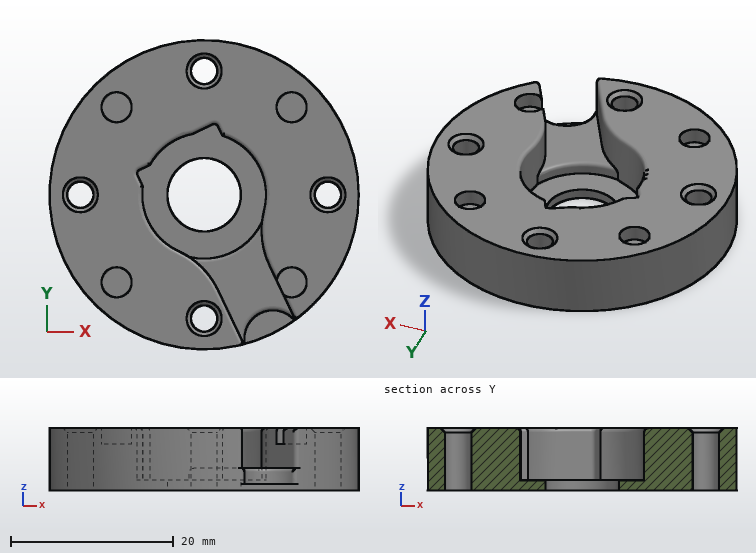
import cadquery as cq
import math

disc_diameter = 38.0
disc_height = 7.7
disc_radius = disc_diameter / 2
bore_diameter = 9.0

pocket_radius = 7.6
pocket_floor_z = 1.3
channel_width = 7.0
channel_floor_z = 2.8
channel_angle = 25.5
blend_radius = 10.0
step_radius = 7.85
edge_round = 0.5

notch_corners = [(5.15, 7.35), (-6.35, 6.17)]
notch_corner_radius = 0.5

scoop_radius = channel_width / 2
scoop_overhang = 0.6
scoop_centre_y = -(disc_radius + scoop_overhang)
scoop_floor_z = 0.8

hole_circle_radius = 15.2
holes_per_kind = 4
hole_pitch = 360 / holes_per_kind
screw_hole_diameter = 3.2
screw_hole_chamfer = 0.55
blind_hole_diameter = 3.7
blind_hole_depth = 1.95

tolerance = 0.01


class RimUprights(cq.Selector):
    """Upright edges where an opening breaks through the outer cylinder on its -Y half."""

    def filter(self, edges):
        return [edge for edge in edges if self.is_match(edge)]

    def is_match(self, edge):
        middle = edge.Center()
        on_rim = abs(math.hypot(middle.x, middle.y) - disc_radius) < tolerance
        return edge.geomType() == "LINE" and on_rim and middle.y < -tolerance


class CavityTopEdges(cq.Selector):
    """Edges of the top face that do not lie on the outer circle."""

    def filter(self, edges):
        return [edge for edge in edges if self.is_match(edge)]

    def is_match(self, edge):
        on_top = edge.BoundingBox().zmin > disc_height - tolerance
        on_outer_circle = edge.geomType() == "CIRCLE" and abs(edge.radius() - disc_radius) < tolerance
        return on_top and not on_outer_circle


def cavity_plane(z):
    """Horizontal workplane whose -Y direction runs outwards along the channel."""
    return cq.Workplane("XY", origin=(0, 0, z)).transformed(rotate=(0, 0, channel_angle))


def cavity_cylinder(radius, centre_y, bottom_z, top_z):
    """Upright cylinder centred on the channel's centre line."""
    return cavity_plane(bottom_z).center(0, centre_y).circle(radius).extrude(top_z - bottom_z)


def notch(across, along):
    """Block from the pocket's centre out to one rounded far corner."""
    depth = disc_height - pocket_floor_z
    plane = cavity_plane(pocket_floor_z)
    far_corner = plane.plane.toWorldCoords((across, along, depth / 2)).toTuple()
    return (
        plane.center(across / 2, along / 2)
        .rect(abs(across), abs(along))
        .extrude(depth)
        .edges(cq.selectors.NearestToPointSelector(far_corner))
        .fillet(notch_corner_radius)
    )


def pocket():
    """Round pocket with its corner notches."""
    body = cavity_cylinder(pocket_radius, 0, pocket_floor_z, disc_height)
    for across, along in notch_corners:
        body = body.union(notch(across, along))
    return body


def channel(bottom_z, top_z):
    """Straight channel, flared into the pocket by two tangent arcs."""
    half_width = channel_width / 2
    blend_centre_x = half_width + blend_radius
    blend_centre_distance = pocket_radius + blend_radius
    blend_centre_y = -math.sqrt(blend_centre_distance**2 - blend_centre_x**2)
    tangent_x = blend_centre_x * pocket_radius / blend_centre_distance
    tangent_y = blend_centre_y * pocket_radius / blend_centre_distance
    outer_y = -disc_diameter
    return (
        cavity_plane(bottom_z)
        .moveTo(-tangent_x, tangent_y)
        .radiusArc((-half_width, blend_centre_y), blend_radius)
        .lineTo(-half_width, outer_y)
        .lineTo(half_width, outer_y)
        .lineTo(half_width, blend_centre_y)
        .radiusArc((tangent_x, tangent_y), blend_radius)
        .threePointArc((0, pocket_radius), (-tangent_x, tangent_y))
        .close()
        .extrude(top_z - bottom_z)
    )


def step_down(radius, centre_y, floor_z):
    """Cutter for a round recess in the channel floor, with a rounded upper edge."""
    lip_z = channel_floor_z - edge_round
    recess = (
        cq.Workplane("XZ")
        .moveTo(0, floor_z)
        .lineTo(radius, floor_z)
        .lineTo(radius, lip_z)
        .radiusArc((radius + edge_round, channel_floor_z), edge_round)
        .lineTo(0, channel_floor_z)
        .close()
        .revolve(360, (0, 0, 0), (0, 1, 0))
    )
    recess = recess.translate((0, centre_y, 0)).rotate((0, 0, 0), (0, 0, 1), channel_angle)
    return recess.intersect(channel(floor_z, channel_floor_z))


def disc_with_cavity():
    """Disc with the pocket and channel cut in and their outer edges rounded."""
    cavity = pocket().union(channel(channel_floor_z, disc_height))
    body = disc.cut(cavity)
    rim_edges = body.edges(CavityTopEdges()).add(body.edges(RimUprights()))
    return rim_edges.fillet(edge_round)


def disc_with_scoop():
    """Disc with only the scoop cut in and its upright edges at the rim rounded."""
    scoop = cavity_cylinder(scoop_radius, scoop_centre_y, scoop_floor_z, channel_floor_z)
    return disc.cut(scoop).edges(RimUprights()).fillet(edge_round)


def ring_of_holes(cutter, start_angle):
    """Copies of a cutter made at the disc's centre, spread evenly on the hole circle."""
    copies = cq.Workplane("XY")
    for index in range(holes_per_kind):
        angle = start_angle + index * hole_pitch
        placed = cutter.translate((hole_circle_radius, 0, 0)).rotate((0, 0, 0), (0, 0, 1), angle)
        copies = copies.add(placed)
    return copies.combine()


def screw_hole():
    """Through hole with a 45 degree chamfer at the top."""
    radius = screw_hole_diameter / 2
    chamfer_z = disc_height - screw_hole_chamfer
    return (
        cq.Workplane("XZ")
        .lineTo(radius, 0)
        .lineTo(radius, chamfer_z)
        .lineTo(radius + screw_hole_chamfer, disc_height)
        .lineTo(0, disc_height)
        .close()
        .revolve(360, (0, 0, 0), (0, 1, 0))
    )


def blind_hole():
    """Flat-bottomed hole from the top face."""
    floor_z = disc_height - blind_hole_depth
    return cq.Workplane("XY", origin=(0, 0, floor_z)).circle(blind_hole_diameter / 2).extrude(blind_hole_depth)


disc = cq.Workplane("XY").circle(disc_radius).extrude(disc_height)
bore = cq.Workplane("XY").circle(bore_diameter / 2).extrude(disc_height)

result = (
    disc_with_cavity()
    .intersect(disc_with_scoop())
    .cut(step_down(step_radius, 0, pocket_floor_z))
    .cut(step_down(scoop_radius, scoop_centre_y, scoop_floor_z))
    .cut(bore)
    .cut(ring_of_holes(screw_hole(), 0))
    .cut(ring_of_holes(blind_hole(), hole_pitch / 2))
    .solids()
)